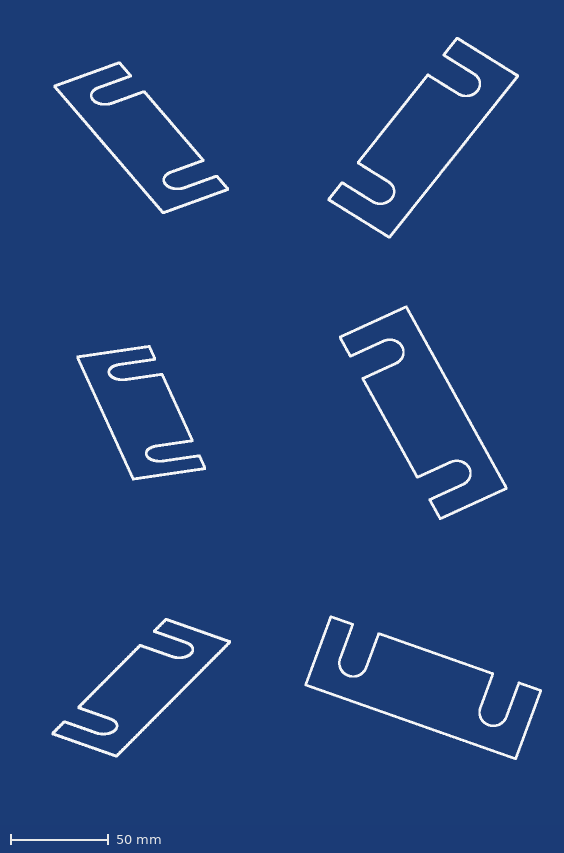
import cadquery as cq

length = 114.3
width = 38.1
thickness = 0.38

slot_width = 14.1
slot_depth = 26.1
slot_spacing = 76.2

slot_radius = slot_width / 2
back_edge = width / 2
round_center_y = back_edge - slot_depth + slot_radius


def slot_cutter(center_x):
    """Round-ended slot that opens through the back (+Y) edge."""
    return (
        cq.Workplane("XY")
        .moveTo(center_x - slot_radius, back_edge)
        .lineTo(center_x - slot_radius, round_center_y)
        .threePointArc(
            (center_x, round_center_y - slot_radius),
            (center_x + slot_radius, round_center_y),
        )
        .lineTo(center_x + slot_radius, back_edge)
        .close()
        .extrude(thickness)
    )


result = cq.Workplane("XY").box(length, width, thickness, centered=(True, True, False))
for side in (-1, 1):
    result = result.cut(slot_cutter(side * slot_spacing / 2))